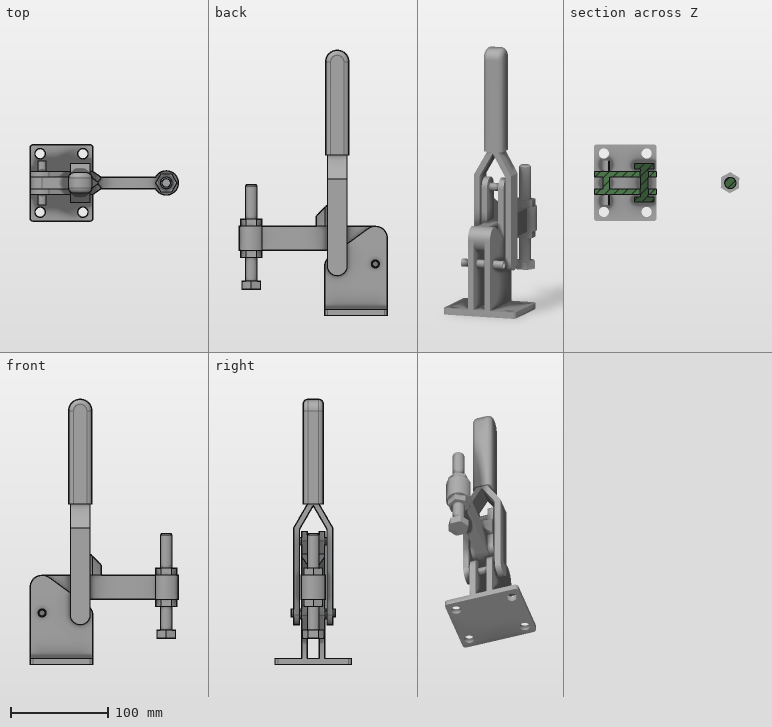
import cadquery as cq
import math


base_length = 64.7
base_width = 79.0
base_thickness = 6.5
base_corner_radius = 3.3
base_hole_diameter = 10.5
base_hole_spacing_x = 44.0
base_hole_spacing_y = 60.0
cheek_slope_angle = 36.0
stop_pin_length = 45.5
stop_pin_height = 53.2
stop_pin_bore_diameter = 6.0

sheet_thickness = 6.0
pin_diameter = 8.2

bar_width = 12.0
bar_height = 24.8
bar_top = 92.0
boss_radius = 12.5
overall_length = 152.5
ear_bend_x = 64.5
ear_bend_angle = 35.0
ear_tip_x = 73.5
ear_shoulder_height = 113.8

handle_x = 51.5
handle_width = 20.5
handle_inner_gap = 28.0
upper_pin_height = 127.0
lower_pin_height = 51.3
handle_bend_angle = 30.0
grip_bottom = 165.2
grip_top = 273.0
grip_width = 24.0
grip_depth = 21.0
grip_fillet = 5.2

spindle_diameter = 12.0
spindle_top = 135.0
spindle_chamfer = 1.6
hex_across_flats = 18.8
nut_height = 7.5
head_bottom = 27.0
head_height = 8.5
head_chamfer = 0.5
head_fillet = 0.5
head_turn = 28.7

boss_x = overall_length - boss_radius
bar_radius = bar_height / 2
bar_bottom = bar_top - bar_height
bar_axis_height = bar_top - bar_radius
cheek_outer_y = bar_width / 2 + sheet_thickness
handle_radius = handle_width / 2
handle_right = handle_x + handle_radius
handle_left = handle_x - handle_radius
hex_corner_diameter = hex_across_flats / math.cos(math.pi / 6)


def side_profile():
    """Mid-plane sketch for outlines in X and Z."""
    return cq.Workplane("XZ")


def cross_cylinder(x, z, diameter, length):
    """Cylinder along Y, centred on the mid-plane."""
    return side_profile().center(x, z).circle(diameter / 2).extrude(length / 2, both=True)


def mirrored_pair(solid):
    """The solid together with its mirror image across the mid-plane."""
    return solid.union(solid.mirror("XZ"))


def make_base_plate():
    plate = (
        cq.Workplane("XY")
        .center(base_length / 2, 0)
        .rect(base_length, base_width)
        .extrude(base_thickness)
        .edges("|Z")
        .fillet(base_corner_radius)
    )
    return (
        plate.faces(">Z")
        .workplane(origin=(base_length / 2, 0, base_thickness))
        .rect(base_hole_spacing_x, base_hole_spacing_y, forConstruction=True)
        .vertices()
        .hole(base_hole_diameter)
    )


def make_cheek():
    """Upright side plate: round rear top corner, sloping top edge, round front corner."""
    slope = math.radians(cheek_slope_angle)
    slope_start_x = bar_radius * (1 + math.sin(slope))
    slope_start_z = bar_axis_height + bar_radius * math.cos(slope)
    mid = math.radians(45 - cheek_slope_angle / 2)
    corner_z = slope_start_z - (base_length - slope_start_x) * math.tan(slope)
    return (
        side_profile()
        .workplane(offset=bar_width / 2)
        .moveTo(0, base_thickness)
        .lineTo(0, bar_axis_height)
        .threePointArc(
            (bar_radius * (1 - math.sin(mid)), bar_axis_height + bar_radius * math.cos(mid)),
            (slope_start_x, slope_start_z),
        )
        .lineTo(base_length, corner_z)
        .lineTo(base_length, base_thickness)
        .close()
        .extrude(sheet_thickness)
        .edges("|Y")
        .edges(cq.selectors.NearestToPointSelector((base_length, 0, corner_z)))
        .fillet(bar_radius)
    )


def make_base():
    stop_pin = cross_cylinder(bar_radius, stop_pin_height, pin_diameter, stop_pin_length)
    bore = cross_cylinder(bar_radius, stop_pin_height, stop_pin_bore_diameter, stop_pin_length)
    core = cross_cylinder(bar_radius, stop_pin_height, stop_pin_bore_diameter, 2 * cheek_outer_y)
    lower_pin_hole = cross_cylinder(handle_x, lower_pin_height, pin_diameter, base_width)
    return (
        make_base_plate()
        .union(mirrored_pair(make_cheek()))
        .cut(lower_pin_hole)
        .union(stop_pin)
        .cut(bore.cut(core))
    )


def make_ear():
    """Sheet upright beside the bar; its free edge is bent inwards over the bar."""
    bend = math.radians(ear_bend_angle)
    tip_y = -cheek_outer_y + (ear_tip_x - ear_bend_x) * math.tan(bend)
    ear_top = upper_pin_height + handle_radius
    inner_bend_x = ear_bend_x - sheet_thickness * math.tan(bend / 2)
    bent_sheet = (
        cq.Workplane("XY")
        .polyline(
            [
                (handle_left, -cheek_outer_y),
                (ear_bend_x, -cheek_outer_y),
                (ear_tip_x, tip_y),
                (ear_tip_x - sheet_thickness * math.sin(bend), tip_y + sheet_thickness * math.cos(bend)),
                (inner_bend_x, -bar_width / 2),
                (handle_left, -bar_width / 2),
            ]
        )
        .close()
        .extrude(ear_top)
    )
    side = (
        side_profile()
        .moveTo(handle_left, bar_axis_height)
        .lineTo(handle_left, upper_pin_height)
        .threePointArc((handle_x, ear_top), (handle_right, upper_pin_height))
        .lineTo(handle_right, ear_shoulder_height)
        .lineTo(ear_tip_x, ear_shoulder_height - (ear_tip_x - handle_right))
        .lineTo(ear_tip_x, bar_top)
        .lineTo(handle_right, bar_top)
        .lineTo(handle_right, bar_axis_height)
        .threePointArc((handle_x, bar_axis_height - handle_radius), (handle_left, bar_axis_height))
        .close()
        .extrude(base_width, both=True)
    )
    return bent_sheet.intersect(side)


def make_arm():
    bar = (
        side_profile()
        .moveTo(boss_x, bar_top)
        .lineTo(bar_radius, bar_top)
        .threePointArc((0, bar_axis_height), (bar_radius, bar_bottom))
        .lineTo(boss_x, bar_bottom)
        .close()
        .extrude(bar_width / 2, both=True)
    )
    boss = cq.Workplane("XY", origin=(boss_x, 0, bar_bottom)).circle(boss_radius).extrude(bar_height)
    spindle_hole = (
        cq.Workplane("XY", origin=(boss_x, 0, bar_bottom)).circle(spindle_diameter / 2).extrude(bar_height)
    )
    upper_pin_hole = cross_cylinder(handle_x, upper_pin_height, pin_diameter, base_width)
    ears = mirrored_pair(make_ear())
    return bar.union(boss).cut(spindle_hole).union(ears).cut(upper_pin_hole)


def make_handle_strip():
    """One leg of the fork: straight with a round lower end, bent in to the mid-plane at the top."""
    bend = math.radians(handle_bend_angle)
    inner_y = handle_inner_gap / 2
    outer_y = inner_y + sheet_thickness
    outer_knee_z = grip_bottom - inner_y / math.tan(bend)
    knee_offset = sheet_thickness * math.tan(bend / 2)
    inner_knee_z = outer_knee_z - knee_offset
    crotch_z = grip_bottom - knee_offset
    low_z = lower_pin_height - handle_radius
    leg = (
        cq.Workplane("YZ", origin=(handle_left, 0, 0))
        .polyline(
            [
                (-outer_y, low_z),
                (-outer_y, outer_knee_z),
                (-sheet_thickness, grip_bottom),
                (0, grip_bottom),
                (0, crotch_z),
                (-inner_y, inner_knee_z),
                (-inner_y, low_z),
            ]
        )
        .close()
        .extrude(handle_width)
    )
    round_end = (
        side_profile()
        .moveTo(handle_left, grip_bottom)
        .lineTo(handle_left, lower_pin_height)
        .threePointArc((handle_x, low_z), (handle_right, lower_pin_height))
        .lineTo(handle_right, grip_bottom)
        .close()
        .extrude(base_width, both=True)
    )
    return leg.intersect(round_end)


def make_handle():
    handle = mirrored_pair(make_handle_strip())
    pin_length = handle_inner_gap + sheet_thickness
    for pin_height in (lower_pin_height, upper_pin_height):
        handle = handle.union(cross_cylinder(handle_x, pin_height, pin_diameter, pin_length))
    return handle


def make_grip():
    radius = grip_width / 2
    dome_z = grip_top - radius
    return (
        side_profile()
        .moveTo(handle_x - radius, grip_bottom)
        .lineTo(handle_x - radius, dome_z)
        .threePointArc((handle_x, grip_top), (handle_x + radius, dome_z))
        .lineTo(handle_x + radius, grip_bottom)
        .close()
        .extrude(grip_depth / 2, both=True)
        .faces("<Y or >Y")
        .edges("not <Z")
        .fillet(grip_fillet)
    )


def hexagon(bottom_z, height):
    """Hexagonal prism on the spindle axis with two corners on the X axis."""
    return cq.Workplane("XY", origin=(boss_x, 0, bottom_z)).polygon(6, hex_corner_diameter).extrude(height)


def make_head():
    """Bolt head with its lower corners turned off in a 45 degree cone."""
    turned_blank = (
        cq.Workplane("XY", origin=(boss_x, 0, head_bottom))
        .circle(hex_corner_diameter / 2)
        .extrude(head_height)
        .faces("<Z")
        .chamfer(head_chamfer)
    )
    prism = hexagon(head_bottom, head_height)
    prism = prism.rotate((boss_x, 0, 0), (boss_x, 0, 1), head_turn)
    return prism.intersect(turned_blank)


def make_spindle():
    shank = (
        cq.Workplane("XY", origin=(boss_x, 0, head_bottom))
        .circle(spindle_diameter / 2)
        .extrude(spindle_top - head_bottom)
        .faces(">Z")
        .chamfer(spindle_chamfer)
    )
    head_top_centre = (boss_x, 0, head_bottom + head_height)
    spindle = (
        shank.union(make_head())
        .edges("%CIRCLE")
        .edges(cq.selectors.NearestToPointSelector(head_top_centre))
        .fillet(head_fillet)
    )
    for nut_bottom in (bar_bottom - nut_height, bar_top):
        spindle = spindle.union(hexagon(nut_bottom, nut_height))
    return spindle


base = make_base()
arm = make_arm()
handle = make_handle()
grip = make_grip()
spindle = make_spindle()

result = cq.Compound.makeCompound([body.solids().val() for body in (base, arm, handle, grip, spindle)])